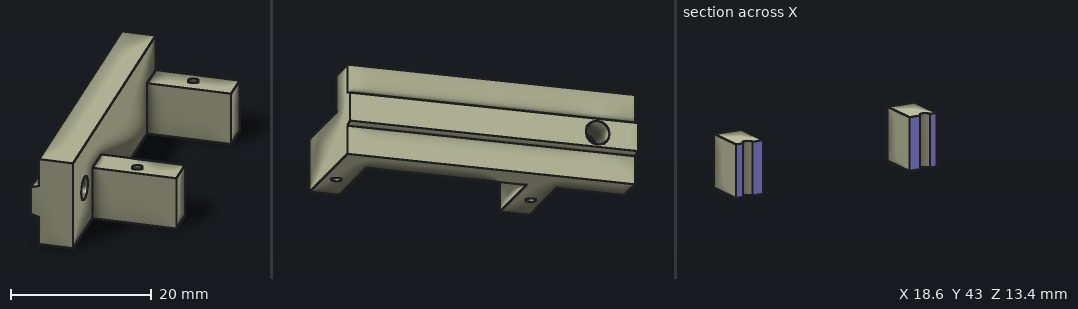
import cadquery as cq

length = 43.0
height = 13.45
total_width = 18.6
rail_depth = 1.2
plate_thickness = 5.05
rail_base_height = 5.0
rail_face_height = 4.25
arm_height = 8.0
arm_width = 4.5
arm_pitch = 28.4
pin_hole_diameter = 1.5
pin_hole_x = 12.35
first_pin_hole_inset = 1.98
pin_hole_pitch = 29.02
plate_hole_diameter = 3.5
plate_hole_y = 6.0

plate_back_x = rail_depth + plate_thickness
arm_length = total_width - plate_back_x
mid_z = height / 2


def make_plate():
    """Upright plate with a tapered rail along its -X face."""
    outline = [
        (rail_depth, 0),
        (plate_back_x, 0),
        (plate_back_x, height),
        (rail_depth, height),
        (rail_depth, mid_z + rail_base_height / 2),
        (0, mid_z + rail_face_height / 2),
        (0, mid_z - rail_face_height / 2),
        (rail_depth, mid_z - rail_base_height / 2),
    ]
    return cq.Workplane("XZ").polyline(outline).close().extrude(-length)


def make_arm(end_y):
    """Arm level with the bottom of the plate; end_y is its +Y side."""
    return cq.Workplane("XY").box(arm_length, arm_width, arm_height, centered=False).translate(
        (plate_back_x, end_y - arm_width, 0)
    )


def make_pin_hole(y):
    """Vertical cutter through an arm."""
    return cq.Workplane("XY").center(pin_hole_x, y).circle(pin_hole_diameter / 2).extrude(arm_height)


def make_plate_hole():
    """Cutter through the rail and plate along X."""
    return (
        cq.Workplane("YZ")
        .center(plate_hole_y, mid_z)
        .circle(plate_hole_diameter / 2)
        .extrude(plate_back_x)
    )


result = make_plate().cut(make_plate_hole())
for arm_index in range(2):
    result = result.union(make_arm(length - arm_index * arm_pitch))
for hole_index in range(2):
    hole_y = length - first_pin_hole_inset - hole_index * pin_hole_pitch
    result = result.cut(make_pin_hole(hole_y))